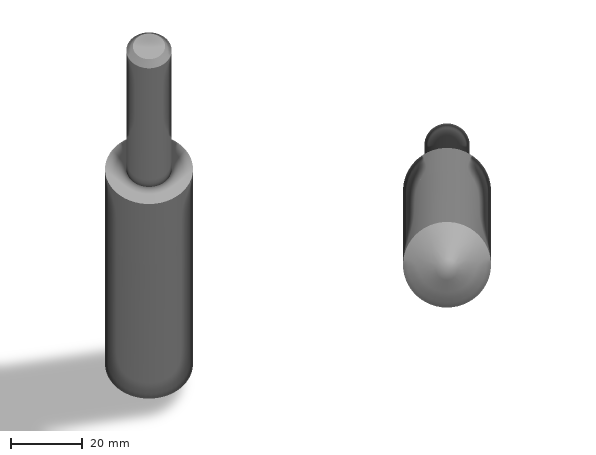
import cadquery as cq

total_length = 152.4
body_diameter = 24.5
shank_diameter = 12.6
shank_length = 56.1
shank_chamfer_size = 1.8
collar_length = 27.6
shoulder_rise = 0.1
point_height = 7.5

body_radius = body_diameter / 2
shank_radius = shank_diameter / 2
shoulder_z = total_length - shank_length
joint_z = shoulder_z - collar_length
shank_base_z = shoulder_z + shoulder_rise


def revolve_profile(points):
    """Turn a closed radius-height outline into a solid about the Z axis."""
    return cq.Workplane("XZ").polyline(points).close().revolve(360, (0, 0), (0, 1))


def make_holder():
    """Collar with a slightly conical shoulder and a slimmer shank, chamfered at its free end."""
    return revolve_profile([
        (0, joint_z),
        (body_radius, joint_z),
        (body_radius, shoulder_z),
        (shank_radius, shank_base_z),
        (shank_radius, total_length - shank_chamfer_size),
        (shank_radius - shank_chamfer_size, total_length),
        (0, total_length),
    ])


def make_pointed_bar():
    """Round bar that continues the collar and ends in a conical point."""
    return revolve_profile([
        (0, 0),
        (body_radius, point_height),
        (body_radius, joint_z),
        (0, joint_z),
    ])


holder = make_holder()
pointed_bar = make_pointed_bar()

result = cq.Compound.makeCompound([holder.val(), pointed_bar.val()])